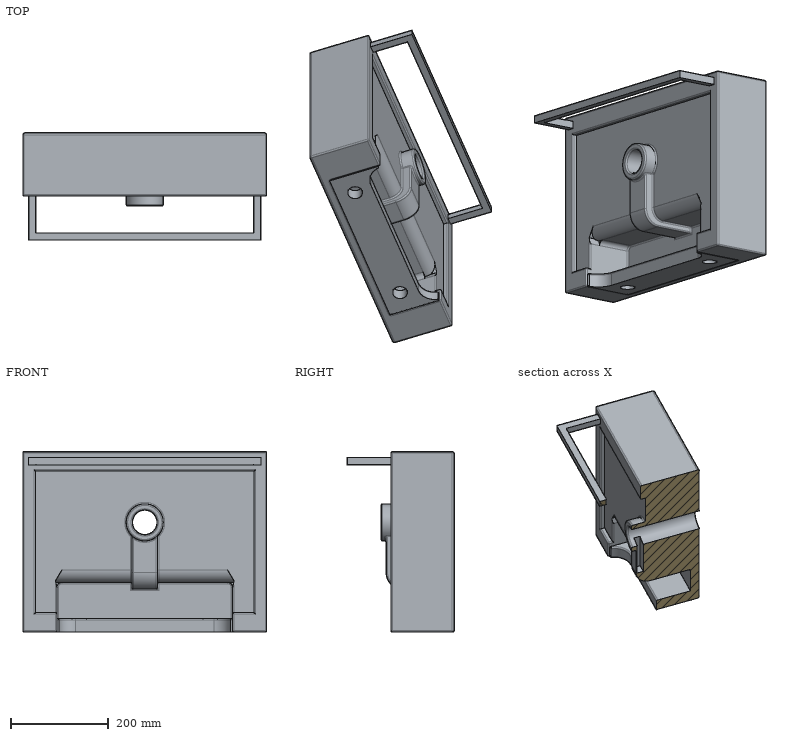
import cadquery as cq
import math

width = 500.0
depth = 130.0
height = 370.0
edge_round = 3.0
rim_round = 5.0

recess_margin_side = 26.0
recess_margin_end = 40.0
recess_depth = 10.0
recess_half_width = width / 2 - recess_margin_side
recess_top = height - recess_margin_end

pocket_half_width = 180.0
pocket_top = 102.0
pocket_back = 110.0
pocket_corner = 10.0
ceiling_round = 25.0

shelf_thickness = 28.0
shelf_lip_round = 3.0
cutout_depth = 35.0
cutout_half_width = 176.5
cutout_mouth_round = 6.0

mount_hole_diameter = 30.0
mount_hole_x = 134.0
mount_hole_y = 72.0

drain_z = 225.0
drain_radius = 25.0
hub_radius = 38.0
hub_projection = 20.0

duct_half_width = 26.0
duct_projection = 10.0
duct_bottom = 88.5
duct_bend = 33.5
channel_half_width = 17.0
channel_front = -7.0
channel_back = 6.0
channel_bottom = duct_bottom + duct_bend

rail_width = 476.0
rail_reach = 90.0
rail_bar = 15.0
rail_bottom = 343.0

slack = 0.1
overrun = 1.0


def box_between(x_limits, y_limits, z_limits):
    """Box spanning the given limits."""
    x0, x1 = x_limits
    y0, y1 = y_limits
    z0, z1 = z_limits
    return cq.Workplane("XY", origin=(x0, y0, z0)).box(x1 - x0, y1 - y0, z1 - z0, centered=False)


def drain_cylinder(radius, y_front, y_back):
    """Cylinder on the drain axis, which runs along Y."""
    return cq.Workplane("XZ", origin=(0, y_front, drain_z)).circle(radius).extrude(y_front - y_back)


def edges_where(body, test):
    """Edges of a body whose bounding box passes the test."""
    return body.newObject([edge for edge in body.edges().vals() if test(edge.BoundingBox())])


def lies_on_sides(box, half_width):
    """True for an edge that lies in one of the planes x = +-half_width."""
    return box.xlen < slack and abs(abs(box.center.x) - half_width) < slack


def make_block():
    """Outer block with rounded edges, larger around the rim at the back."""
    block = box_between((-width / 2, width / 2), (0, depth), (0, height))
    block = block.faces(">Y").edges().fillet(rim_round)
    block = block.edges("|Y").fillet(edge_round)
    return block.faces("<Y").edges().fillet(edge_round)


def cut_recess(body):
    """Recess in the underside with a rounded mouth."""
    recess = box_between(
        (-recess_half_width, recess_half_width), (0, recess_depth), (recess_margin_end, recess_top)
    )
    body = body.cut(recess)
    mouth = edges_where(
        body,
        lambda box: box.ymax < slack
        and box.zmin > recess_margin_end - slack
        and box.zmax < recess_top + slack
        and box.xmax < recess_half_width + slack
        and box.xmin > -recess_half_width - slack,
    )
    return mouth.fillet(edge_round)


def cut_pocket(body):
    """Pocket open at the front and bottom, with rounded side edges at its mouth."""
    pocket = box_between(
        (-pocket_half_width, pocket_half_width), (-overrun, pocket_back), (-overrun, pocket_top)
    )
    pocket = pocket.edges("|Y and >Z").fillet(pocket_corner)
    pocket = pocket.faces(">Y").edges("not <Z").fillet(edge_round)
    body = body.cut(pocket)
    mouth_sides = edges_where(
        body,
        lambda box: lies_on_sides(box, pocket_half_width) and box.ymax < recess_depth + slack,
    )
    return mouth_sides.fillet(edge_round)


def make_ceiling_flare():
    """Cutter that rounds the pocket ceiling into the recess floor, with bevelled ends."""
    flare_top = pocket_top + ceiling_round
    flare_back = recess_depth + ceiling_round
    flare_bottom = pocket_top - pocket_corner
    profile = (
        cq.Workplane("YZ", origin=(-width / 2, 0, 0))
        .moveTo(recess_depth, flare_top)
        .radiusArc((flare_back, pocket_top), -ceiling_round)
        .lineTo(flare_back, flare_bottom)
        .lineTo(recess_depth, flare_bottom)
        .close()
        .extrude(width)
    )
    inner = pocket_half_width - pocket_corner
    outer = pocket_half_width + edge_round
    shoulder = pocket_top + edge_round
    outline = (
        cq.Workplane("XZ")
        .moveTo(-inner, flare_bottom)
        .lineTo(-pocket_half_width, flare_bottom)
        .lineTo(-outer, shoulder)
        .lineTo(-inner, flare_top)
        .lineTo(inner, flare_top)
        .lineTo(outer, shoulder)
        .lineTo(pocket_half_width, flare_bottom)
        .close()
        .extrude(-depth)
    )
    return profile.intersect(outline)


def make_shelf():
    """Shelf plate: front edge set back by a cutout with round corners, and a rounded upper lip."""
    corner_x = cutout_half_width - cutout_depth
    reach = cutout_depth + cutout_mouth_round
    mouth_x = corner_x + math.sqrt(reach**2 - cutout_mouth_round**2)
    share = cutout_depth / reach
    join_x = corner_x + (mouth_x - corner_x) * share
    join_y = cutout_mouth_round * share
    shelf_back = pocket_back + overrun
    shelf = (
        cq.Workplane("XY")
        .moveTo(-width / 2, 0)
        .lineTo(-mouth_x, 0)
        .radiusArc((-join_x, join_y), cutout_mouth_round)
        .radiusArc((-corner_x, cutout_depth), cutout_depth)
        .lineTo(corner_x, cutout_depth)
        .radiusArc((join_x, join_y), cutout_depth)
        .radiusArc((mouth_x, 0), cutout_mouth_round)
        .lineTo(width / 2, 0)
        .lineTo(width / 2, shelf_back)
        .lineTo(-width / 2, shelf_back)
        .close()
        .extrude(shelf_thickness)
    )
    lip = edges_where(
        shelf,
        lambda box: box.zmin > shelf_thickness - slack and box.ymax < cutout_depth + slack,
    )
    shelf = lip.fillet(shelf_lip_round)
    return shelf.intersect(
        box_between((-pocket_half_width, pocket_half_width), (0, shelf_back), (0, shelf_thickness))
    )


def add_duct(body):
    """Overflow duct from the hub down to the pocket, bent back at its lower end."""
    bend_end = duct_bend - duct_projection
    duct_back = pocket_back + overrun
    duct = (
        cq.Workplane("YZ", origin=(-duct_half_width, 0, 0))
        .moveTo(-duct_projection, drain_z)
        .lineTo(-duct_projection, duct_bottom + duct_bend)
        .radiusArc((bend_end, duct_bottom), -duct_bend)
        .lineTo(duct_back, duct_bottom)
        .lineTo(duct_back, drain_z)
        .close()
        .extrude(2 * duct_half_width)
    )
    body = body.union(duct)
    base = edges_where(
        body,
        lambda box: lies_on_sides(box, duct_half_width)
        and box.ymin > recess_depth - slack
        and box.zmax > duct_bottom + slack
        or box.ymin > pocket_back - slack
        and box.ymax < pocket_back + slack
        and box.zlen < slack
        and abs(box.zmin - duct_bottom) < slack,
    )
    body = base.fillet(edge_round)
    outer = edges_where(
        body,
        lambda box: lies_on_sides(box, duct_half_width)
        and (box.ymin < -duct_projection + slack or box.zmax < duct_bottom + slack)
        and box.zmin > duct_bottom - slack,
    )
    return outer.fillet(edge_round)


def add_hub(body):
    """Drain hub with a rounded tip, blended into the recess floor and the duct."""
    body = body.union(drain_cylinder(hub_radius, -hub_projection, recess_depth + overrun))
    base = edges_where(
        body,
        lambda box: box.ymin > -duct_projection - slack
        and box.ymax < recess_depth + slack
        and box.zmin > drain_z - hub_radius - slack
        and box.zmax < drain_z + hub_radius + slack
        and box.xmin > -hub_radius - slack
        and box.xmax < hub_radius + slack,
    )
    body = base.fillet(edge_round)
    body = body.cut(drain_cylinder(drain_radius, -hub_projection - overrun, depth + overrun))
    return body.faces("<Y").edges().fillet(edge_round)


def make_basin():
    basin = cut_pocket(cut_recess(make_block()))
    basin = basin.union(make_shelf()).cut(make_ceiling_flare())
    basin = add_hub(add_duct(basin))
    channel = box_between(
        (-channel_half_width, channel_half_width), (channel_front, channel_back), (channel_bottom, drain_z)
    )
    basin = basin.cut(channel)
    for x in (-mount_hole_x, mount_hole_x):
        hole = cq.Workplane("XY", origin=(x, mount_hole_y, 0)).circle(mount_hole_diameter / 2)
        basin = basin.cut(hole.extrude(shelf_thickness))
    return basin


def make_towel_rail():
    """U-shaped square bar whose two legs stand on the underside frame."""
    rail_top = rail_bottom + rail_bar
    half = rail_width / 2
    rail = box_between((-half, half), (-rail_reach, 0), (rail_bottom, rail_top))
    opening = box_between(
        (-half + rail_bar, half - rail_bar), (-rail_reach + rail_bar, 0), (rail_bottom, rail_top)
    )
    return rail.cut(opening)


basin = make_basin()
towel_rail = make_towel_rail()
result = cq.Compound.makeCompound([basin.val(), towel_rail.val()])